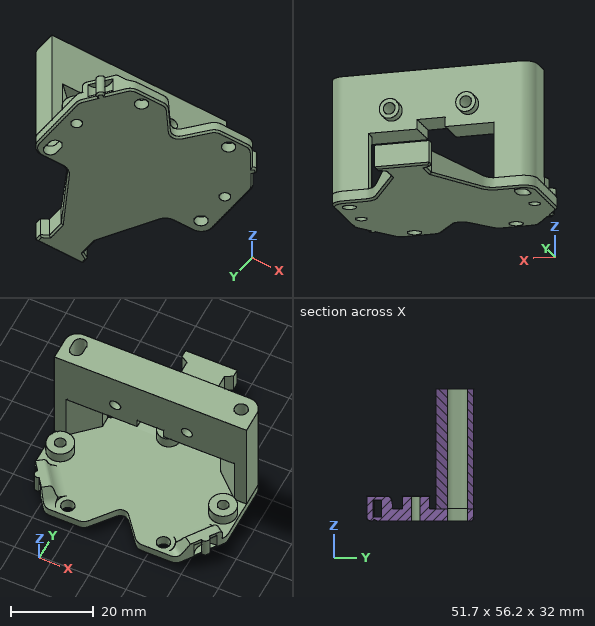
import cadquery as cq
import math

WIDTH = 51.7
LENGTH = 56.15
HEIGHT = 32.0
PLATE_THICKNESS = 3.0
RAISED_HEIGHT = 6.0
BOTTOM_CHAMFER = 0.5

PLATE_REAR_Y = 31.55
PLATE_CORNER_RADIUS = 3.5
NOSE_HALF_WIDTH = 17.75
SIDE_ANGLE = 54.0
NOSE_CORNER_RADIUS = 3.0
NOTCH_HALF_WIDTH = 7.15
NOTCH_DEPTH = 8.85
NOTCH_TIP_RADIUS = 2.1

NECK_HALF_WIDTH = 5.05
NECK_START_Y = 48.05
NECK_END_Y = 53.0
HEAD_HALF_WIDTH = 6.95
HEAD_SHOULDER_Y = 54.15
TAIL_TAPER_ANGLE = 30.0

SIDE_HOLE_X = 21.9
SCREW_HOLE_DIAMETER = 3.4
BOSS_Y = 17.45
BOSS_DIAMETER = 7.0
BOSS_HOLE_DIAMETER = 2.8
STUD_Y = 32.55
STUD_DIAMETER = 6.0
NOSE_HOLE_X = 12.85
NOSE_HOLE_Y = 3.0
SCREW_HEAD_CLEARANCE_DIAMETER = 6.0

BLOCK_WALL = 2.85
BLOCK_EDGE_RADIUS = 1.0
BLOCK_BLEND_RADIUS = RAISED_HEIGHT - PLATE_THICKNESS
BLOCK_TOP_LENGTH = 8.75
BLOCK_SLOPE_ANGLE = 45.0
RIB_POSITION = 4.6
RIB_WIDTH = 2.25
RIB_RADIUS = 1.0
POCKET_RADIUS = 3.5
POCKET_DEPTH = 2.0
POCKET_BOTTOM = 1.0
POCKET_TOP = 5.0

BRIDGE_FRONT_Y = 22.3
REAR_HOLE_Y = 27.5
SLOT_LENGTH = 5.4
WINDOW_TOP = 17.0
WINDOW_FRONT_HALF_WIDTH = 22.65
WINDOW_REAR_HALF_WIDTH = 15.9
WINDOW_STRAIGHT_DEPTH = 3.05
WINDOW_NOTCH_HALF_WIDTH = 3.55
WINDOW_NOTCH_TOP = 19.4
TUBE_CENTER_X = 0.15
TUBE_SPACING = 19.3
TUBE_Z = 22.05
TUBE_DIAMETER = 5.0
TUBE_BORE = 2.9
TUBE_LENGTH = 2.6

HALF_WIDTH = WIDTH / 2
SIDE_SLOPE = math.tan(math.radians(SIDE_ANGLE))
SIDE_CORNER_Y = (HALF_WIDTH - NOSE_HALF_WIDTH) * SIDE_SLOPE
TAIL_ROOT_HALF_WIDTH = NECK_HALF_WIDTH + (NECK_START_Y - PLATE_REAR_Y) * math.tan(
    math.radians(TAIL_TAPER_ANGLE)
)
SIDE_CORNER_TANGENT = PLATE_CORNER_RADIUS * math.tan(math.radians(90 - SIDE_ANGLE) / 2)
BLOCK_START_X = -HALF_WIDTH + SIDE_CORNER_TANGENT * math.cos(math.radians(SIDE_ANGLE))
BLOCK_START_Y = SIDE_CORNER_Y - SIDE_CORNER_TANGENT * math.sin(math.radians(SIDE_ANGLE))


def mirrored_points(right_half):
    """Close an outline from its right half, listed from the nose to the tail."""
    left_half = [(-x, y) for x, y in reversed(right_half) if x != 0]
    return right_half + left_half


def round_upright_edges(body, corners, radius):
    """Fillet the vertical edge at each given XY corner."""
    for x, y in corners:
        body = body.edges("|Z").edges(cq.selectors.NearestToPointSelector((x, y, 0))).fillet(radius)
    return body


def on_both_sides(x, y):
    return [(-x, y), (x, y)]


def cylinder(x, y, diameter, bottom, top):
    return cq.Workplane("XY", origin=(x, y, bottom)).circle(diameter / 2).extrude(top - bottom)


def make_outline_prism():
    """The whole base outline, extruded to the raised height."""
    right_half = [
        (0, NOTCH_DEPTH),
        (NOTCH_HALF_WIDTH, 0),
        (NOSE_HALF_WIDTH, 0),
        (HALF_WIDTH, SIDE_CORNER_Y),
        (HALF_WIDTH, PLATE_REAR_Y),
        (TAIL_ROOT_HALF_WIDTH, PLATE_REAR_Y),
        (NECK_HALF_WIDTH, NECK_START_Y),
        (NECK_HALF_WIDTH, NECK_END_Y),
        (HEAD_HALF_WIDTH, HEAD_SHOULDER_Y),
        (HEAD_HALF_WIDTH, LENGTH),
    ]
    prism = cq.Workplane("XY").polyline(mirrored_points(right_half)).close().extrude(RAISED_HEIGHT)
    nose_corners = on_both_sides(NOTCH_HALF_WIDTH, 0) + on_both_sides(NOSE_HALF_WIDTH, 0)
    plate_corners = (
        on_both_sides(HALF_WIDTH, SIDE_CORNER_Y)
        + on_both_sides(HALF_WIDTH, PLATE_REAR_Y)
        + on_both_sides(TAIL_ROOT_HALF_WIDTH, PLATE_REAR_Y)
    )
    prism = round_upright_edges(prism, [(0, NOTCH_DEPTH)], NOTCH_TIP_RADIUS)
    prism = round_upright_edges(prism, nose_corners, NOSE_CORNER_RADIUS)
    return round_upright_edges(prism, plate_corners, PLATE_CORNER_RADIUS)


def make_side_profile():
    """Flat plate, sloped tail and raised neck as one profile across the full width."""
    return (
        cq.Workplane("YZ", origin=(-HALF_WIDTH, 0, 0))
        .polyline([
            (0, 0),
            (LENGTH, 0),
            (LENGTH, RAISED_HEIGHT),
            (NECK_START_Y, RAISED_HEIGHT),
            (PLATE_REAR_Y, PLATE_THICKNESS),
            (0, PLATE_THICKNESS),
        ])
        .close()
        .extrude(WIDTH)
    )


def place_on_side(body):
    """Move a body from the side block's frame to the left slanted side."""
    turned = body.rotate((0, 0, 0), (0, 0, 1), -SIDE_ANGLE)
    return turned.translate((BLOCK_START_X, BLOCK_START_Y, 0))


def make_block_section():
    """Wall with a quarter-round blend to the plate, its top edges and far end rounded."""
    foot = BLOCK_WALL + BLOCK_BLEND_RADIUS
    blend_offset = BLOCK_BLEND_RADIUS * math.sqrt(0.5)
    blend_middle = (foot - blend_offset, RAISED_HEIGHT - blend_offset)
    buried_foot = foot + BLOCK_EDGE_RADIUS
    reach = BLOCK_TOP_LENGTH + 2 * BLOCK_BLEND_RADIUS
    block = (
        cq.Workplane("YZ")
        .moveTo(0, BOTTOM_CHAMFER)
        .lineTo(buried_foot, BOTTOM_CHAMFER)
        .lineTo(buried_foot, PLATE_THICKNESS)
        .lineTo(foot, PLATE_THICKNESS)
        .threePointArc(blend_middle, (BLOCK_WALL, RAISED_HEIGHT))
        .lineTo(0, RAISED_HEIGHT)
        .close()
        .extrude(reach)
    )
    inner_top_edge = cq.selectors.NearestToPointSelector((reach / 2, BLOCK_WALL, RAISED_HEIGHT))
    end_top_edge = cq.selectors.NearestToPointSelector((0, BLOCK_WALL / 2, RAISED_HEIGHT))
    end_blend_edge = cq.selectors.NearestToPointSelector((0, *blend_middle))
    return block.edges(inner_top_edge + end_top_edge + end_blend_edge).fillet(BLOCK_EDGE_RADIUS)


def make_ramp_section():
    """Flat top, ramp and concave blend to the plate, seen along the slanted side."""
    angle = math.radians(BLOCK_SLOPE_ANGLE)
    ramp_foot = BLOCK_TOP_LENGTH + (RAISED_HEIGHT - PLATE_THICKNESS) / math.tan(angle)
    tangent = BLOCK_BLEND_RADIUS * math.tan(angle / 2)
    blend_end = ramp_foot + tangent
    ramp_width = BLOCK_WALL + 2 * BLOCK_BLEND_RADIUS
    blend_top = (ramp_foot - tangent * math.cos(angle), PLATE_THICKNESS + tangent * math.sin(angle))
    blend_middle = (
        blend_end - BLOCK_BLEND_RADIUS * math.sin(angle / 2),
        PLATE_THICKNESS + BLOCK_BLEND_RADIUS * (1 - math.cos(angle / 2)),
    )
    return (
        cq.Workplane("XZ")
        .moveTo(0, BOTTOM_CHAMFER)
        .lineTo(blend_end, BOTTOM_CHAMFER)
        .lineTo(blend_end, PLATE_THICKNESS)
        .threePointArc(blend_middle, blend_top)
        .lineTo(BLOCK_TOP_LENGTH, RAISED_HEIGHT)
        .lineTo(0, RAISED_HEIGHT)
        .close()
        .extrude(-ramp_width)
    )


def make_side_block(outline_prism):
    """Left side block, trimmed to the base outline and to the screw head beside it."""
    block = place_on_side(make_block_section().intersect(make_ramp_section()))
    screw_head = cylinder(
        -NOSE_HOLE_X, NOSE_HOLE_Y, SCREW_HEAD_CLEARANCE_DIAMETER, PLATE_THICKNESS, RAISED_HEIGHT
    )
    return block.intersect(outline_prism).cut(screw_head)


def make_side_rib():
    """Upright rib on the left slanted side, its two outer edges rounded back to the side face."""
    rib = (
        cq.Workplane("XY", origin=(RIB_POSITION, 0, 0))
        .rect(RIB_WIDTH, 2 * RIB_RADIUS)
        .extrude(RAISED_HEIGHT)
        .edges("|Z and <Y")
        .fillet(RIB_RADIUS)
        .faces("<Z")
        .edges()
        .chamfer(BOTTOM_CHAMFER)
    )
    return place_on_side(rib)


def make_side_pocket():
    """Round-backed pocket in the left slanted side, passing behind the rib."""
    mouth_half_length = math.sqrt(POCKET_RADIUS**2 - (POCKET_RADIUS - POCKET_DEPTH) ** 2)
    pocket = (
        cq.Workplane("XY", origin=(RIB_POSITION, 0, POCKET_BOTTOM))
        .moveTo(-mouth_half_length, 0)
        .threePointArc((0, POCKET_DEPTH), (mouth_half_length, 0))
        .close()
        .extrude(POCKET_TOP - POCKET_BOTTOM)
    )
    return place_on_side(pocket)


def make_rear_openings():
    """Slot on the left and round hole on the right, through both the bridge and the base."""
    slot = (
        cq.Workplane("XY", origin=(-SIDE_HOLE_X, REAR_HOLE_Y, 0))
        .slot2D(SLOT_LENGTH, SCREW_HOLE_DIAMETER, 90)
        .extrude(HEIGHT)
    )
    return slot.union(cylinder(SIDE_HOLE_X, REAR_HOLE_Y, SCREW_HOLE_DIAMETER, 0, HEIGHT))


def make_base():
    """Plate with tail, side blocks, ribs, bosses and stud."""
    outline_prism = make_outline_prism()
    base = outline_prism.intersect(make_side_profile())
    base = base.faces("<Z").edges().chamfer(BOTTOM_CHAMFER)

    block = make_side_block(outline_prism)
    pocket = make_side_pocket()
    rib = make_side_rib()
    for side_feature in (block, block.mirror("YZ"), rib, rib.mirror("YZ")):
        base = base.union(side_feature)
    for side_pocket in (pocket, pocket.mirror("YZ")):
        base = base.cut(side_pocket)

    for x, y in on_both_sides(SIDE_HOLE_X, BOSS_Y):
        base = base.union(cylinder(x, y, BOSS_DIAMETER, BOTTOM_CHAMFER, RAISED_HEIGHT))
        base = base.cut(cylinder(x, y, BOSS_HOLE_DIAMETER, 0, RAISED_HEIGHT))
    base = base.union(cylinder(0, STUD_Y, STUD_DIAMETER, BOTTOM_CHAMFER, RAISED_HEIGHT))

    for x, y in on_both_sides(NOSE_HOLE_X, NOSE_HOLE_Y):
        base = base.cut(cylinder(x, y, SCREW_HOLE_DIAMETER, 0, PLATE_THICKNESS))
    return base.cut(make_rear_openings())


def make_window():
    """Opening under the bridge: it narrows toward the rear and has a notch in its top edge."""
    straight_start_y = PLATE_REAR_Y - WINDOW_STRAIGHT_DEPTH
    right_half = [
        (WINDOW_FRONT_HALF_WIDTH, BRIDGE_FRONT_Y),
        (WINDOW_REAR_HALF_WIDTH, straight_start_y),
        (WINDOW_REAR_HALF_WIDTH, PLATE_REAR_Y),
    ]
    opening = (
        cq.Workplane("XY", origin=(0, 0, PLATE_THICKNESS))
        .polyline(mirrored_points(right_half))
        .close()
        .extrude(WINDOW_TOP - PLATE_THICKNESS)
    )
    notch = cq.Workplane("XY").box(
        2 * WINDOW_NOTCH_HALF_WIDTH,
        PLATE_REAR_Y - BRIDGE_FRONT_Y,
        WINDOW_NOTCH_TOP - PLATE_THICKNESS,
        centered=(True, False, False),
    )
    return opening.union(notch.translate((0, BRIDGE_FRONT_Y, PLATE_THICKNESS)))


def make_bridge():
    """Upright wall that stands on the plate."""
    wall = cq.Workplane("XY").box(
        WIDTH,
        PLATE_REAR_Y - BRIDGE_FRONT_Y,
        HEIGHT - PLATE_THICKNESS,
        centered=(True, False, False),
    )
    wall = wall.edges("|Z and >Y").fillet(PLATE_CORNER_RADIUS)
    bridge = wall.translate((0, BRIDGE_FRONT_Y, PLATE_THICKNESS))
    bridge = bridge.cut(make_window()).cut(make_rear_openings())

    tube_rear_y = PLATE_REAR_Y + TUBE_LENGTH
    for x in (TUBE_CENTER_X - TUBE_SPACING / 2, TUBE_CENTER_X + TUBE_SPACING / 2):
        tube_end = cq.Workplane("XZ", origin=(x, tube_rear_y, TUBE_Z))
        bridge = bridge.union(tube_end.circle(TUBE_DIAMETER / 2).extrude(TUBE_LENGTH))
        bridge = bridge.cut(tube_end.circle(TUBE_BORE / 2).extrude(tube_rear_y - BRIDGE_FRONT_Y))
    return bridge


base = make_base()
bridge = make_bridge()
result = cq.Compound.makeCompound([base.val(), bridge.val()])